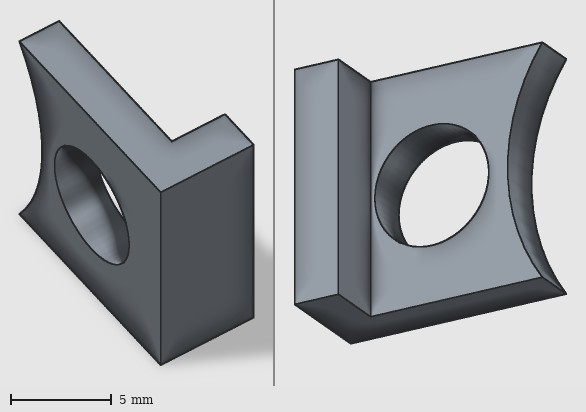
import cadquery as cq

length = 12.3
depth = 5.6
height = 12.7

plate_thickness = 2.4
flange_thickness = 2.5

end_arc_depth = 1.98
hole_diameter = 6.5
hole_to_flange_face = 6.0


def make_plate():
    """Upright plate with a concave arc on its -X end; its front face is at Y = 0."""
    return (
        cq.Workplane("XZ")
        .moveTo(0, -height / 2)
        .lineTo(length, -height / 2)
        .lineTo(length, height / 2)
        .lineTo(0, height / 2)
        .threePointArc((end_arc_depth, 0), (0, -height / 2))
        .close()
        .extrude(-plate_thickness)
    )


def make_flange():
    """Full-height flange turned toward +Y at the +X end."""
    return cq.Workplane("XY").box(
        flange_thickness, depth, height, centered=(False, False, True)
    ).translate((length - flange_thickness, 0, 0))


def make_hole():
    """Cylinder that cuts the round hole through the plate."""
    return (
        cq.Workplane("XZ")
        .center(length - hole_to_flange_face, 0)
        .circle(hole_diameter / 2)
        .extrude(-plate_thickness)
    )


result = make_plate().union(make_flange()).cut(make_hole())